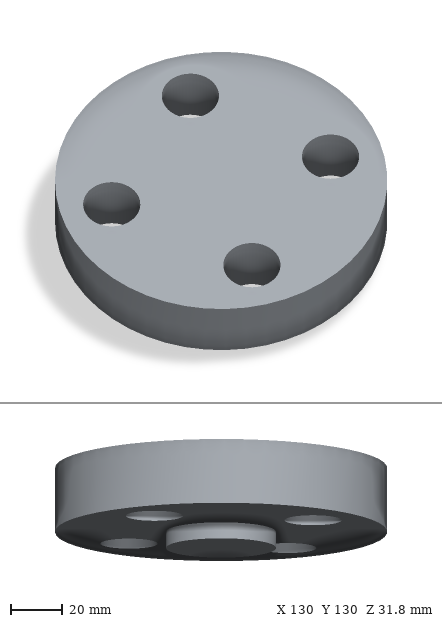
import cadquery as cq

disc_diameter = 130.0
disc_thickness = 25.4

face_diameter = 43.0
face_height = 6.4

bolt_count = 4
bolt_hole_diameter = 22.4
bolt_circle_diameter = 88.9


def flange_disc():
    """Disc with its lower side on Z = 0."""
    return cq.Workplane("XY").circle(disc_diameter / 2).extrude(disc_thickness)


def raised_face():
    """Round boss hanging below the disc, on the same axis."""
    return cq.Workplane("XY").circle(face_diameter / 2).extrude(-face_height)


def bolt_holes():
    """Through-hole cylinders on the bolt circle, the first one on the +X axis."""
    return (
        cq.Workplane("XY")
        .polarArray(bolt_circle_diameter / 2, 0, 360, bolt_count)
        .circle(bolt_hole_diameter / 2)
        .extrude(disc_thickness)
    )


result = flange_disc().union(raised_face()).cut(bolt_holes())